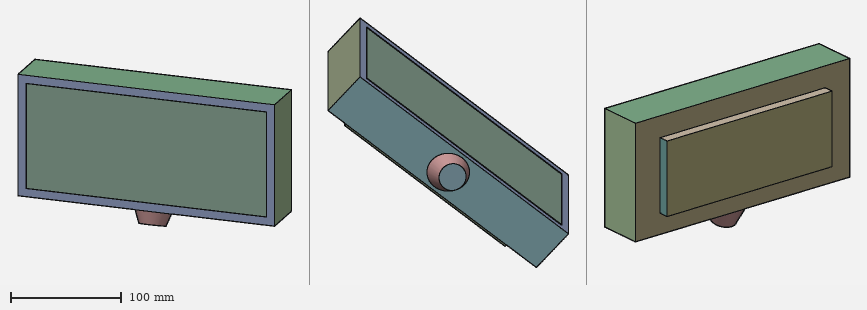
import cadquery as cq
import math

housing_width = 247.0
housing_depth = 45.0
housing_height = 116.0

frame_width = 8.0
panel_recess = 0.5

plate_width = 190.2
plate_thickness = 10.1
plate_height = 73.9
plate_offset_z = -0.2

spout_base_diameter = 38.5
spout_tip_diameter = 25.0
spout_tilt = 18.0
spout_overall_drop = 22.2

front_y = -housing_depth / 2
back_y = housing_depth / 2
bottom_z = -housing_height / 2


def make_housing():
    housing = cq.Workplane("XY").box(housing_width, housing_depth, housing_height)
    recess = (
        cq.Workplane("XZ", origin=(0, front_y, 0))
        .rect(housing_width - 2 * frame_width, housing_height - 2 * frame_width)
        .extrude(-panel_recess)
    )
    return housing.cut(recess)


def make_plate():
    return (
        cq.Workplane("XZ", origin=(0, back_y, plate_offset_z))
        .rect(plate_width, plate_height)
        .extrude(-plate_thickness)
    )


def make_circle(diameter, center, normal):
    plane = cq.Plane(origin=center, xDir=(1, 0, 0), normal=normal)
    return cq.Workplane(plane).circle(diameter / 2).wire().val()


def make_spout():
    tilt = math.radians(spout_tilt)
    tip_drop = spout_overall_drop - spout_tip_diameter / 2 * math.sin(tilt)
    base_center = cq.Vector(0, 0, bottom_z)
    tip_center = base_center + cq.Vector(0, -tip_drop * math.tan(tilt), -tip_drop)
    tip_normal = cq.Vector(0, -math.sin(tilt), -math.cos(tilt))
    base = make_circle(spout_base_diameter, base_center, cq.Vector(0, 0, -1))
    tip = make_circle(spout_tip_diameter, tip_center, tip_normal)
    return cq.Workplane(cq.Solid.makeLoft([base, tip], True))



result = make_housing().union(make_plate()).union(make_spout())